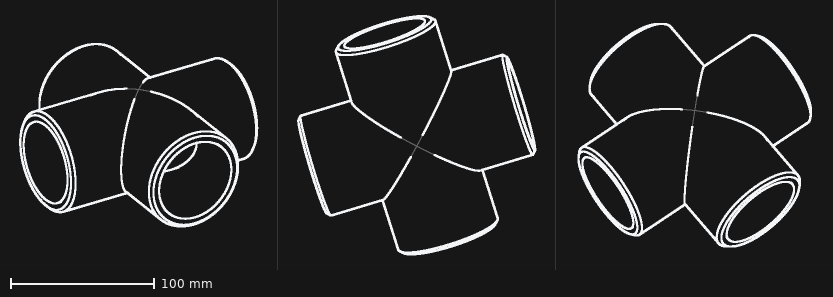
import cadquery as cq

overall_length = 152.0
outer_diameter = 73.0
bore_diameter = 59.0

wall_thickness = (outer_diameter - bore_diameter) / 2
rim_chamfer = wall_thickness / 3


def centred_rod(plane, diameter):
    """Round rod along the normal of the plane, centred on the origin."""
    return cq.Workplane(plane).circle(diameter / 2).extrude(overall_length / 2, both=True)


def bevelled_pipe_body(plane):
    """Solid outer body of one straight run, with both rims bevelled."""
    return centred_rod(plane, outer_diameter).edges("%CIRCLE").chamfer(rim_chamfer)


run_planes = ["YZ", "XZ"]
x_run_plane, y_run_plane = run_planes
result = bevelled_pipe_body(x_run_plane).union(bevelled_pipe_body(y_run_plane))

for run_plane in run_planes:
    result = result.cut(centred_rod(run_plane, bore_diameter))